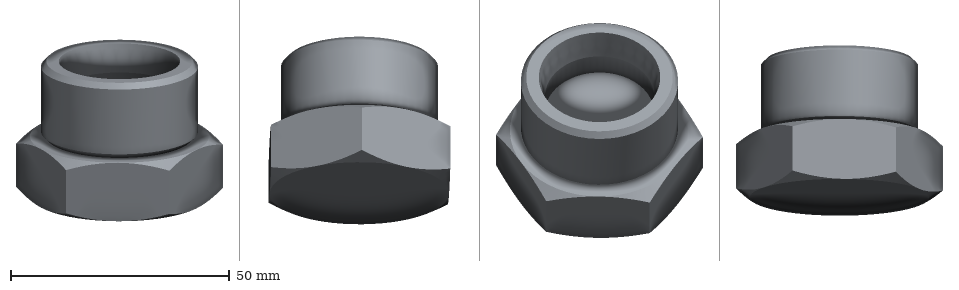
import cadquery as cq
import math

hex_across_corners = 47.35
hex_height = 14.0
hex_across_flats = hex_across_corners * math.cos(math.radians(30))
corner_chamfer_angle = 30.0

total_height = 32.0
body_diameter = 36.0
body_chamfer = 1.25

mouth_diameter = 27.8
bore_diameter = 25.0
taper_depth = 6.55
bore_depth = 12.0


def revolve_profile(points):
    """Revolve a closed (radius, height) outline about the Z axis."""
    return cq.Workplane("XZ").polyline(points).close().revolve(360, (0, 0), (0, 1))


def make_head():
    """Hexagonal prism with conically chamfered corners at both ends."""
    prism = (
        cq.Workplane("XY")
        .polygon(6, hex_across_corners)
        .extrude(hex_height)
        .rotate((0, 0, 0), (0, 0, 1), 30)
    )
    flat_radius = hex_across_flats / 2
    corner_radius = hex_across_corners / 2
    corner_drop = (corner_radius - flat_radius) * math.tan(math.radians(corner_chamfer_angle))
    envelope = revolve_profile([
        (0, 0),
        (flat_radius, 0),
        (corner_radius, corner_drop),
        (corner_radius, hex_height - corner_drop),
        (flat_radius, hex_height),
        (0, hex_height),
    ])
    return prism.intersect(envelope)


def make_body():
    """Cylinder chamfered at its free end and where it meets the head."""
    return (
        cq.Workplane("XY")
        .workplane(offset=hex_height)
        .circle(body_diameter / 2)
        .extrude(total_height - hex_height)
        .faces("<Z or >Z")
        .chamfer(body_chamfer)
    )


def make_bore():
    """Flat-bottomed bore, tapering in from the mouth and then straight."""
    floor_height = total_height - bore_depth
    return revolve_profile([
        (0, floor_height),
        (bore_diameter / 2, floor_height),
        (bore_diameter / 2, total_height - taper_depth),
        (mouth_diameter / 2, total_height),
        (0, total_height),
    ])


result = make_head().union(make_body()).cut(make_bore())